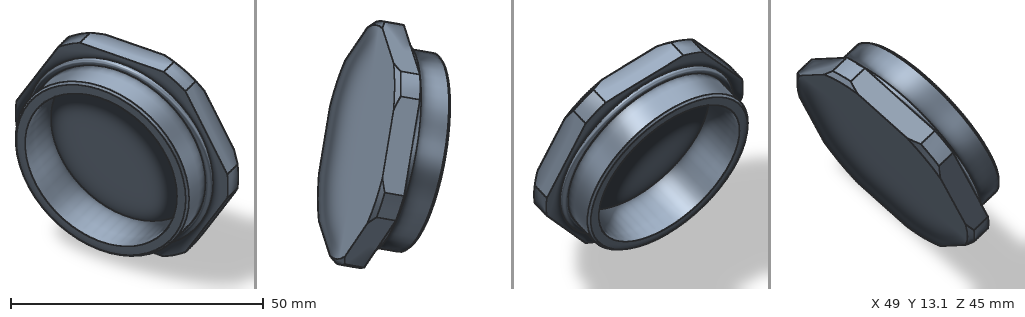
import cadquery as cq

across_flats = 45.0
corner_diameter = 48.95
head_thickness = 5.0
head_chamfer = 1.0

boss_diameter = 40.0
boss_length = 8.05
boss_chamfer = 0.5
bore_diameter = 35.0
bore_depth = 10.0

ring_outer_diameter = 42.75
ring_thickness = 1.5


def xz_plane(y):
    """Sketch plane at position y along Y, with its normal pointing toward +Y."""
    return cq.Workplane(cq.Plane(origin=(0, y, 0), xDir=(1, 0, 0), normal=(0, 1, 0)))


def make_head():
    hexagon = xz_plane(0).polygon(6, across_flats, circumscribed=True).extrude(head_thickness)
    hexagon = hexagon.rotate((0, 0, 0), (0, 1, 0), 360 / 12)
    disc = xz_plane(0).circle(corner_diameter / 2).extrude(head_thickness)
    disc = disc.faces(">Y").chamfer(head_chamfer)
    return hexagon.intersect(disc)


def make_boss():
    boss = xz_plane(-boss_length).circle(boss_diameter / 2).extrude(boss_length)
    return boss.faces("<Y").chamfer(boss_chamfer)


def make_ring():
    section_radius = ring_thickness / 2
    center_radius = ring_outer_diameter / 2 - section_radius
    section = cq.Workplane("XY").center(center_radius, -section_radius).circle(section_radius)
    return section.revolve(360, (-center_radius, 0, 0), (-center_radius, 1, 0))


def make_bore():
    return xz_plane(-boss_length).circle(bore_diameter / 2).extrude(bore_depth)


result = make_head().union(make_boss()).union(make_ring()).cut(make_bore())